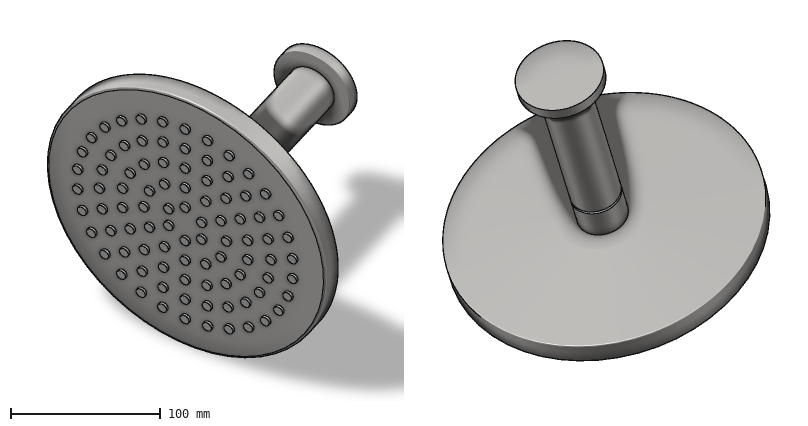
import cadquery as cq


head_radius = 110.0
rim_width = 16.0
face_edge_radius = 2.0
back_edge_radius = 1.0
cone_height = 5.0
hub_radius = 30.1

plate_radius = head_radius - face_edge_radius
plate_thickness = 2.0
nozzle_radius = 3.5
nozzle_height = 2.0
ring_count = 5
nozzles_per_step = 6
inner_ring_radius = 15.0
outer_ring_radius = 85.0
ring_pitch = (outer_ring_radius - inner_ring_radius) / (ring_count - 1)

tube_radius = 17.5
collar_length = 22.2
spigot_radius = 12.5
spigot_length = 2.0
flange_radius = 30.1
flange_thickness = 8.8
flange_edge_radius = 0.7
overall_depth = 169.5

collar_start = rim_width + cone_height
spigot_start = collar_start + collar_length
arm_start = spigot_start + spigot_length
flange_start = overall_depth - nozzle_height - flange_thickness


def across_stem(position):
    """Workplane square to the Y axis at Y = position, facing +Y with its x axis straight up."""
    return cq.Workplane(cq.Plane(origin=(0, position, 0), xDir=(0, 0, 1), normal=(0, 1, 0)))


def disc(radius, start, length):
    """Cylinder on the Y axis that runs from Y = start towards +Y."""
    return across_stem(start).circle(radius).extrude(length)


def make_housing():
    """Round head with a straight rim, a conical back and a front recess for the spray plate."""
    housing = (
        cq.Workplane("YZ")
        .lineTo(0, head_radius)
        .lineTo(rim_width, head_radius)
        .lineTo(rim_width + cone_height, hub_radius)
        .lineTo(rim_width + cone_height, 0)
        .close()
        .revolve(360, (0, 0, 0), (1, 0, 0))
    )
    rim_edges = cq.selectors.RadiusNthSelector(-1)
    housing = housing.edges(rim_edges).edges(">Y").fillet(back_edge_radius)
    housing = housing.edges("<Y").fillet(face_edge_radius)
    return housing.cut(disc(plate_radius, 0, plate_thickness))


def make_nozzle_ring(ring):
    """Studs of one ring, counted from 0 at the centre; the first stud is straight up."""
    ring_radius = inner_ring_radius + ring * ring_pitch
    count = nozzles_per_step * (ring + 1)
    return (
        across_stem(0)
        .polarArray(ring_radius, 0, 360, count)
        .circle(nozzle_radius)
        .extrude(-nozzle_height)
    )


def make_spray_plate():
    """Flat disc with concentric rings of round nozzles on its front."""
    plate = disc(plate_radius, 0, plate_thickness)
    for ring in range(ring_count):
        plate = plate.union(make_nozzle_ring(ring))
    return plate


def make_neck():
    """Collar on the hub with a narrower spigot that meets the arm."""
    collar = disc(tube_radius, collar_start, collar_length)
    return collar.union(disc(spigot_radius, spigot_start, spigot_length))


def make_arm():
    """Straight round arm from the neck to the wall flange."""
    return disc(tube_radius, arm_start, flange_start - arm_start)


def make_wall_flange():
    """Round wall plate with a rounded front edge."""
    return disc(flange_radius, flange_start, flange_thickness).edges("<Y").fillet(flange_edge_radius)


housing = make_housing()
spray_plate = make_spray_plate()
neck = make_neck()
arm = make_arm()
wall_flange = make_wall_flange()

bodies = [housing, spray_plate, neck, arm, wall_flange]
result = cq.Compound.makeCompound([body.solids().val() for body in bodies])